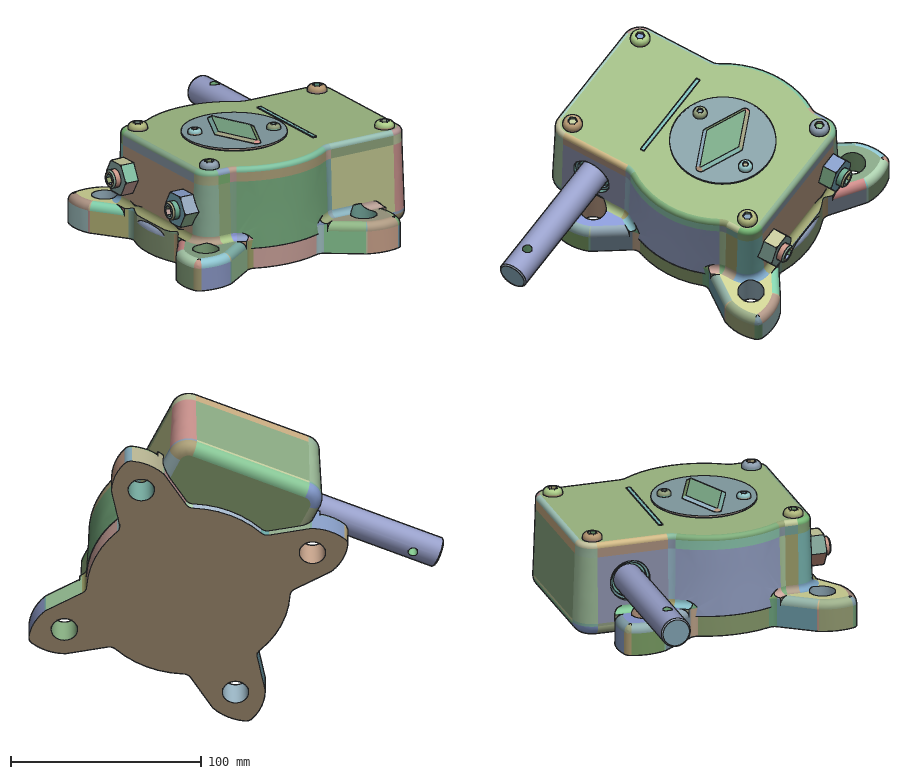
import cadquery as cq
import math

base_seam_z = 11.3
foot_top_z = 16.6
belly_z = 3.9
lid_seam_z = 48.3
lid_top_z = 56.0
shaft_z = 33.4

base_radius = 53.5
foot_hole_pitch = 98.5
foot_hole_diameter = 13.8
foot_root = (21.5, 48.7)
foot_shoulder = (42.3, 63.3)
foot_crown = (52.0, 65.5)
foot_corner = 63.5
foot_root_fillet = 4.6
foot_edge_fillet = 4.2
foot_wall_fillet = 3.5
slab_side = 221.5
joint_gap = 0.2

housing_radius = base_radius + 0.2
rear_half_width = 43.2
front_half_width = 45.2
rear_y = 83.5
front_y = -48.3
corner_radius = 10.7
neck_radius = 5.5
outline_thickness = 1.8
body_draft = 2.0
lid_draft = 1.0
lid_edge_fillet = 2.5
belly_fillet = 5.9

shaft_end_x = -119.0
shaft_y = 54.8
shaft_diameter = 16.0
shaft_chamfer = 0.7
pin_hole_diameter = 5.0
pin_hole_x = -104.6
seal_recess_diameter = 22.0
seal_recess_floor_x = -40.6
seal_bore_diameter = 19.2
seal_bore_floor_x = -38.8

bolt_spacing = 57.8
nut_across_flats = 17.0
nut_face_y = -55.4
nut_chamfer = 0.5
bolt_diameter = 10.0
bolt_end_y = -59.5
bolt_chamfer = 1.0
bolt_socket_diameter = 6.0
bolt_socket_depth = 2.8

lid_screw_diameter = 10.5
lid_screw_height = 3.3
lid_screw_socket = 5.0
lid_screw_places = [(-32.8, 72.7), (32.8, 72.7), (-34.9, -37.8), (34.9, -37.8)]
dome_share = 0.8

pad_diameter = 52.0
pad_height = 1.1
dial_diameter = 56.0
dial_thickness = 1.0
pointer_half_length = 27.5
pointer_half_width = 12.2
pointer_height = 1.5
pointer_tip_radius = 2.4
pointer_bevel_width = 2.0
pointer_bevel_height = 1.3
dial_screw_diameter = 7.5
dial_screw_height = 2.5
dial_screw_socket = 3.3
dial_screw_places = [(8.1, 19.4), (-8.1, -19.4)]
dial_top_z = lid_top_z + pad_height + dial_thickness

bar_length = 54.5
bar_width = 2.2
bar_height = 0.5
bar_y = 32.8


def foot():
    """Foot in the +X +Y quadrant, symmetric about the diagonal."""
    return (
        cq.Workplane("XY")
        .lineTo(*foot_root)
        .lineTo(*foot_shoulder)
        .threePointArc(foot_crown, (foot_corner, foot_corner))
        .threePointArc(foot_crown[::-1], foot_shoulder[::-1])
        .lineTo(*foot_root[::-1])
        .close()
        .extrude(foot_top_z)
    )


def base():
    plate = cq.Workplane("XY").circle(base_radius).extrude(foot_top_z)
    for turn in range(4):
        plate = plate.union(foot().rotate((0, 0, 0), (0, 0, 1), 90 * turn))
    plate = plate.edges("|Z").fillet(foot_root_fillet)
    return plate.faces(">Z").edges().fillet(foot_edge_fillet)


def foot_holes():
    """Mounting holes, open upwards past the housing walls."""
    return (
        cq.Workplane("XY")
        .rect(foot_hole_pitch, foot_hole_pitch, forConstruction=True)
        .vertices()
        .circle(foot_hole_diameter / 2)
        .extrude(foot_top_z + foot_wall_fillet)
    )


def rounded_block(half_width, y_end, height):
    block = cq.Workplane("XY").center(0, y_end / 2).rect(2 * half_width, abs(y_end)).extrude(height)
    outer_edges = block.edges("|Z").edges(">Y" if y_end > 0 else "<Y")
    return outer_edges.fillet(corner_radius)


def around_necks():
    """Selects what lies near the four meetings of the round housing with its straight sides."""
    reach_x = housing_radius
    reach_y = housing_radius - corner_radius - neck_radius
    return cq.selectors.BoxSelector((-reach_x, -reach_y, 0), (reach_x, reach_y, outline_thickness))


def housing_outline():
    """Housing outline at the base seam, ready to extrude."""
    kept_depth = rear_y - front_y
    behind_front = (
        cq.Workplane("XY")
        .center(0, front_y + kept_depth / 2)
        .rect(slab_side, kept_depth)
        .extrude(outline_thickness)
    )
    plate = (
        cq.Workplane("XY").circle(housing_radius).extrude(outline_thickness)
        .intersect(behind_front)
        .union(rounded_block(rear_half_width, rear_y, outline_thickness))
        .union(rounded_block(front_half_width, front_y, outline_thickness))
    )
    necks = plate.edges("|Z").edges(around_necks())
    outline = necks.fillet(neck_radius).faces("<Z").wires().val()
    return cq.Workplane("XY").add(outline).toPending()


def housing_body():
    walls = housing_outline().extrude(lid_seam_z - base_seam_z, taper=body_draft)
    return walls.translate((0, 0, base_seam_z))


def housing_with_lid():
    body_top = housing_body().faces(">Z").wires().toPending()
    lidded = body_top.extrude(lid_top_z - lid_seam_z, taper=lid_draft)
    return lidded.faces(">Z").edges().fillet(lid_edge_fillet)


def skirt(plate):
    """Cove between the housing walls and the base, ending along the rounded rim of the base."""
    slab_height = foot_top_z - base_seam_z
    slab = cq.Workplane("XY", origin=(0, 0, base_seam_z)).rect(slab_side, slab_side).extrude(slab_height)
    reach_xy = slab_side / 2 - joint_gap
    low_corner = (-reach_xy, -reach_xy, foot_top_z - joint_gap)
    high_corner = (reach_xy, reach_xy, foot_top_z + joint_gap)
    wall_foot = cq.selectors.BoxSelector(low_corner, high_corner)
    cove = slab.union(housing_body()).edges(wall_foot).fillet(foot_wall_fillet)
    reach = housing_outline().offset2D(foot_wall_fillet).extrude(lid_top_z)
    return cove.intersect(reach).intersect(plate.translate((0, 0, foot_wall_fillet)))


def belly():
    """Underside of the housing behind the base."""
    block = rounded_block(rear_half_width, rear_y, base_seam_z - belly_z)
    return block.faces("<Z").edges("not <Y").fillet(belly_fillet).translate((0, 0, belly_z))


def input_shaft():
    shaft = (
        cq.Workplane("YZ", origin=(shaft_end_x, shaft_y, shaft_z))
        .circle(shaft_diameter / 2)
        .extrude(-shaft_end_x)
        .faces("<X").edges().chamfer(shaft_chamfer)
    )
    pin_hole = cq.Workplane("XY").center(pin_hole_x, shaft_y).circle(pin_hole_diameter / 2).extrude(lid_top_z)
    return shaft.cut(pin_hole)


def seal_recess():
    """Stepped recess in the side wall around the shaft."""
    steps = cq.Workplane("XY")
    for floor_x, diameter in (
        (seal_recess_floor_x, seal_recess_diameter),
        (seal_bore_floor_x, seal_bore_diameter),
    ):
        floor = cq.Workplane("YZ", origin=(floor_x, shaft_y, shaft_z))
        steps = steps.union(floor.circle(diameter / 2).extrude(-rear_half_width - floor_x))
    return steps


def stop_bolt(x):
    """Bolt and lock nut standing out of the front wall."""
    wall = cq.Workplane("XZ", origin=(x, 0, shaft_z))
    nut_corner_diameter = nut_across_flats / math.cos(math.pi / 6)
    nut = wall.polygon(6, nut_corner_diameter).extrude(-nut_face_y)
    cone = wall.circle(nut_corner_diameter / 2).extrude(-nut_face_y).faces("<Y").edges().chamfer(nut_chamfer)
    bolt = wall.circle(bolt_diameter / 2).extrude(-bolt_end_y).faces("<Y").edges().chamfer(bolt_chamfer)
    socket = (
        cq.Workplane("XZ", origin=(x, bolt_end_y + bolt_socket_depth, shaft_z))
        .polygon(6, bolt_socket_diameter)
        .extrude(bolt_socket_depth)
    )
    return nut.intersect(cone).union(bolt).cut(socket)


def button_screw(place, seat_z, diameter, height, socket_diameter):
    """Domed screw head with a hexagon socket."""
    head = (
        cq.Workplane("XY", origin=(*place, seat_z))
        .circle(diameter / 2)
        .extrude(height)
        .faces(">Z").edges().fillet(height * dome_share)
    )
    socket_depth = height / 2
    socket = (
        cq.Workplane("XY", origin=(*place, seat_z + height - socket_depth))
        .polygon(6, socket_diameter)
        .extrude(socket_depth)
    )
    return head.cut(socket)


def indicator():
    """Round dial on a smaller pad, with a diamond pointer."""
    pad = cq.Workplane("XY", origin=(0, 0, lid_top_z)).circle(pad_diameter / 2).extrude(pad_height)
    dial = pad.faces(">Z").workplane().circle(dial_diameter / 2).extrude(dial_thickness)
    pointer = (
        cq.Workplane("XY", origin=(0, 0, dial_top_z))
        .moveTo(pointer_half_length, 0)
        .lineTo(0, pointer_half_width)
        .lineTo(-pointer_half_length, 0)
        .lineTo(0, -pointer_half_width)
        .close()
        .extrude(pointer_height)
        .edges("|Z").fillet(pointer_tip_radius)
        .faces(">Z").edges().chamfer(pointer_bevel_height, pointer_bevel_width)
    )
    return dial.union(pointer)


def lid_bar():
    return cq.Workplane("XY", origin=(0, bar_y, lid_top_z)).rect(bar_length, bar_width).extrude(bar_height)


base_plate = base()
result = (
    base_plate
    .union(housing_with_lid())
    .union(skirt(base_plate))
    .union(belly())
    .cut(foot_holes())
    .cut(seal_recess())
    .union(input_shaft())
    .union(indicator())
    .union(lid_bar())
)
for bolt_x in (-bolt_spacing / 2, bolt_spacing / 2):
    result = result.union(stop_bolt(bolt_x))
for place in lid_screw_places:
    result = result.union(
        button_screw(place, lid_top_z, lid_screw_diameter, lid_screw_height, lid_screw_socket)
    )
for place in dial_screw_places:
    result = result.union(
        button_screw(place, dial_top_z, dial_screw_diameter, dial_screw_height, dial_screw_socket)
    )